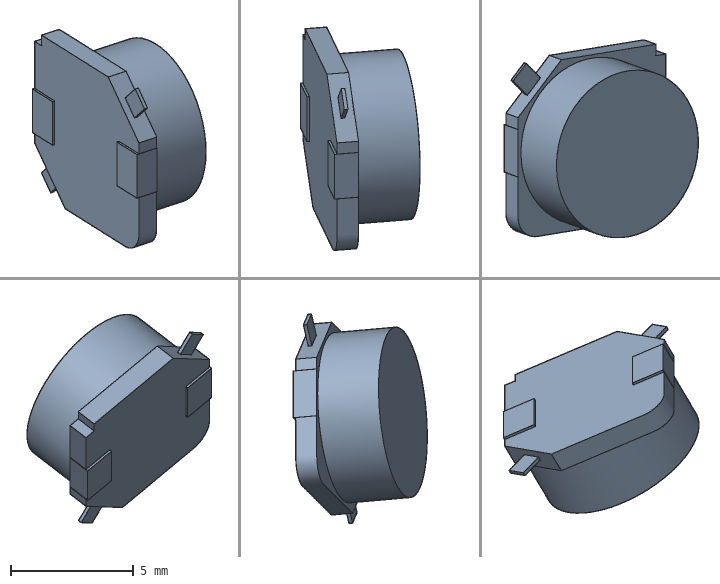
import cadquery as cq

base_side = 7.29
base_thickness = 0.9
corner_chamfer = 2.14
corner_radius = 0.95
notch_side = 0.48

case_diameter = 7.0
case_height = 2.595

pad_span = 7.31
pad_length = 1.41
pad_height = 2.0
pad_standoff = 0.1

lead_width = 0.92
lead_thickness = 0.15
lead_protrusion = 0.995
lead_setback = 0.43

total_depth = pad_standoff + base_thickness + case_height
pad_front = -total_depth / 2
base_front = pad_front + pad_standoff
base_back = base_front + base_thickness
half_side = base_side / 2


def make_base():
    chamfer_start = half_side - corner_chamfer
    notch_edge = half_side - notch_side
    fillet_start = half_side - corner_radius
    outline = (
        cq.Workplane("XZ", origin=(0, base_back, 0))
        .moveTo(-notch_edge, half_side)
        .lineTo(chamfer_start, half_side)
        .lineTo(half_side, chamfer_start)
        .lineTo(half_side, -fillet_start)
        .radiusArc((fillet_start, -half_side), corner_radius)
        .lineTo(-chamfer_start, -half_side)
        .lineTo(-half_side, -chamfer_start)
        .lineTo(-half_side, notch_edge)
        .lineTo(-notch_edge, notch_edge)
        .close()
    )
    return outline.extrude(base_thickness)


def make_case():
    return (
        cq.Workplane("XZ", origin=(0, base_back, 0))
        .circle(case_diameter / 2)
        .extrude(-case_height)
    )


def make_pad(side):
    """Pad on the +X edge (side = 1) or the -X edge (side = -1)."""
    depth = base_back - pad_front
    center_x = side * (pad_span - pad_length) / 2
    center_y = (base_back + pad_front) / 2
    return cq.Workplane("XY").box(pad_length, depth, pad_height).translate((center_x, center_y, 0))


def make_leads():
    """One straight strip through the base forms both diagonal leads."""
    chamfer_distance = (base_side - corner_chamfer) / 2**0.5
    strip_length = 2 * (chamfer_distance + lead_protrusion)
    center_y = base_back - lead_setback - lead_thickness / 2
    return (
        cq.Workplane("XY")
        .box(strip_length, lead_thickness, lead_width)
        .rotate((0, 0, 0), (0, 1, 0), -45)
        .translate((0, center_y, 0))
    )


result = make_base().union(make_case()).union(make_leads())
for side in (-1, 1):
    result = result.union(make_pad(side))